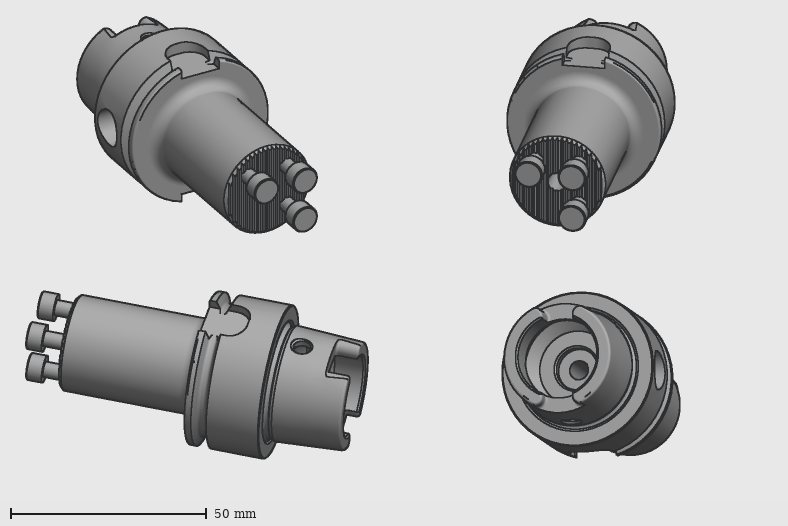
import cadquery as cq
import math

OVERALL_LENGTH = 84.4
EDGE_TOLERANCE = 0.01

TAPER_MOUTH_R = 14.1
TAPER_END_R = 15.1
TAPER_END_X = 17.9
MOUTH_ROUND = 0.7
NECK_R = 14.6
NECK_START_X = 18.9
NECK_END_X = 19.4
NECK_LEAD_IN = 0.25

FLANGE_R = 20.0
FLANGE_X = 20.0
FLANGE_END_X = 39.75
FLANGE_CHAMFER = 0.25
FLANGE_END_ROUND = 0.5
RELIEF_DEPTH = 0.3
RELIEF_INNER_R = 15.5
RELIEF_OUTER_R = 16.1

GROOVE_X = 35.9
GROOVE_TOP_HALF_WIDTH = 2.0
GROOVE_FLOOR_HALF_WIDTH = 0.85
GROOVE_FLOOR_R = 17.3
GROOVE_ROUND = 0.8

ARBOR_R = 12.5
ARBOR_END_X = 75.0
ARBOR_ROOT_ROUND = 2.95
ARBOR_CHAMFER = 0.85

BORE_MOUTH_R = 11.0
BORE_MOUTH_CHAMFER = 0.5
BORE_R = BORE_MOUTH_R - BORE_MOUTH_CHAMFER
BORE_LIP_X = 8.0
RECESS_R = 12.75
RECESS_END_X = 16.0
BORE_FLOOR_R = 9.7
BORE_FLOOR_X = RECESS_END_X + RECESS_R - BORE_FLOOR_R
POCKET_R = 5.9
POCKET_CHAMFER = 0.5
POCKET_DEPTH = 2.5
COOLANT_HOLE_R = 2.45

SLOT_HALF_WIDTH = 4.0
SLOT_SHOULDER_Z = 12.7
SLOT_WALL_ROUND = 2.0
SLOT_END_ROUND = 0.8
UPPER_SLOT_DEPTH = 6.0
LOWER_SLOT_DEPTH = 3.55

CROSS_HOLE_X = 13.8
CROSS_HOLE_R = 2.3
CROSS_HOLE_SINK_R = 2.9
SIDE_HOLE_X = 26.75
SIDE_HOLE_R = 5.0
SIDE_HOLE_FLOOR = 14.7
SIDE_HOLE_FLOOR_CHAMFER = 0.25

KEYWAY_START_X = 27.9
KEYWAY_HALF_WIDTH = 5.5
KEYWAY_CORNER_R = 4.5
KEYWAY_FLOOR = 16.9

TOOTH_PITCH = 1.25
TOOTH_DEPTH = 0.6
TOOTH_FLANK_ANGLE = 30.0

SCREW_OFFSET = 5.65
SCREW_SHANK_R = 2.0
SCREW_HEAD_R = 3.55
SCREW_HEAD_LENGTH = 4.1
SCREW_HEAD_CHAMFER = 0.25
SCREW_SHANK_LENGTH = 12.0


def revolve_about_x(outline):
    """Turn a closed outline of (x, radius) about the X axis."""
    return outline.close().revolve(360, (0, 0, 0), (1, 0, 0))


def turned_blank():
    """Taper, flange and arbor as one turned shape."""
    outline = (
        cq.Workplane("XY")
        .moveTo(0, 0)
        .lineTo(0, TAPER_MOUTH_R)
        .lineTo(TAPER_END_X, TAPER_END_R)
        .lineTo(NECK_START_X - NECK_LEAD_IN, NECK_R + NECK_LEAD_IN)
        .lineTo(NECK_START_X, NECK_R)
        .lineTo(NECK_END_X, NECK_R)
        .tangentArcPoint((FLANGE_X + RELIEF_DEPTH, RELIEF_INNER_R), relative=False)
        .lineTo(FLANGE_X, RELIEF_OUTER_R)
        .lineTo(FLANGE_X, FLANGE_R - FLANGE_CHAMFER)
        .lineTo(FLANGE_X + FLANGE_CHAMFER, FLANGE_R)
        .lineTo(FLANGE_END_X - FLANGE_END_ROUND, FLANGE_R)
        .tangentArcPoint((FLANGE_END_ROUND, -FLANGE_END_ROUND))
        .lineTo(FLANGE_END_X, ARBOR_R + ARBOR_ROOT_ROUND)
        .tangentArcPoint((ARBOR_ROOT_ROUND, -ARBOR_ROOT_ROUND))
        .lineTo(ARBOR_END_X - ARBOR_CHAMFER, ARBOR_R)
        .lineTo(ARBOR_END_X, ARBOR_R - ARBOR_CHAMFER)
        .lineTo(ARBOR_END_X, 0)
    )
    return revolve_about_x(outline)


def gripper_groove():
    """V-shaped ring with a rounded floor, to be cut from the flange rim."""
    outline = (
        cq.Workplane("XY")
        .moveTo(GROOVE_X - GROOVE_TOP_HALF_WIDTH, FLANGE_R)
        .lineTo(GROOVE_X - GROOVE_FLOOR_HALF_WIDTH, GROOVE_FLOOR_R)
        .lineTo(GROOVE_X + GROOVE_FLOOR_HALF_WIDTH, GROOVE_FLOOR_R)
        .lineTo(GROOVE_X + GROOVE_TOP_HALF_WIDTH, FLANGE_R)
    )
    ring = revolve_about_x(outline)
    middle_r = (GROOVE_FLOOR_R + FLANGE_R) / 2
    floor_edges = [edge for edge in ring.edges("%CIRCLE").vals() if edge.radius() < middle_r]
    return ring.newObject(floor_edges).fillet(GROOVE_ROUND)


def stepped_bore():
    """Clamping bore, pocket and coolant hole along the axis."""
    pocket_floor_x = BORE_FLOOR_X + POCKET_DEPTH
    outline = (
        cq.Workplane("XY")
        .moveTo(0, 0)
        .lineTo(0, BORE_MOUTH_R)
        .lineTo(BORE_MOUTH_CHAMFER, BORE_R)
        .lineTo(BORE_LIP_X, BORE_R)
        .lineTo(BORE_LIP_X, RECESS_R)
        .lineTo(RECESS_END_X, RECESS_R)
        .lineTo(BORE_FLOOR_X, BORE_FLOOR_R)
        .lineTo(BORE_FLOOR_X, POCKET_R)
        .lineTo(BORE_FLOOR_X + POCKET_CHAMFER, POCKET_R - POCKET_CHAMFER)
        .lineTo(pocket_floor_x, POCKET_R - POCKET_CHAMFER)
        .lineTo(pocket_floor_x, COOLANT_HOLE_R)
        .lineTo(ARBOR_END_X, COOLANT_HOLE_R)
        .lineTo(ARBOR_END_X, 0)
    )
    return revolve_about_x(outline)


def drive_slot(depth, side):
    """Slot through the taper wall; side is +1 for the +Z wall and -1 for the -Z wall."""
    reach = TAPER_END_R
    flare_half_width = SLOT_HALF_WIDTH + SLOT_WALL_ROUND
    flare_start_z = SLOT_SHOULDER_Z - SLOT_WALL_ROUND
    slot = (
        cq.Workplane("YZ")
        .moveTo(-SLOT_HALF_WIDTH, 0)
        .lineTo(-SLOT_HALF_WIDTH, flare_start_z)
        .tangentArcPoint((-SLOT_WALL_ROUND, SLOT_WALL_ROUND))
        .lineTo(-reach, SLOT_SHOULDER_Z)
        .lineTo(-reach, reach)
        .lineTo(reach, reach)
        .lineTo(reach, SLOT_SHOULDER_Z)
        .lineTo(flare_half_width, SLOT_SHOULDER_Z)
        .tangentArcPoint((SLOT_HALF_WIDTH, flare_start_z), relative=False)
        .lineTo(SLOT_HALF_WIDTH, 0)
        .close()
        .extrude(depth)
    )
    wall_edges = [
        edge
        for edge in slot.faces(">X").edges().vals()
        if 0 < edge.Center().z < SLOT_SHOULDER_Z + EDGE_TOLERANCE
    ]
    slot = slot.newObject(wall_edges).fillet(SLOT_END_ROUND)
    return slot if side > 0 else slot.mirror("XY")


def rounded_mouth(body):
    """Round the rim of the taper mouth and the mouth edges of both slots."""
    return body.faces("<X").edges().fillet(MOUTH_ROUND)


def cross_hole():
    """Hole along Z through both taper walls, countersunk at each outer surface."""
    sink_depth = CROSS_HOLE_SINK_R - CROSS_HOLE_R
    wall_r = TAPER_MOUTH_R + (TAPER_END_R - TAPER_MOUTH_R) * CROSS_HOLE_X / TAPER_END_X
    half_outline = (
        cq.Workplane("XZ", origin=(CROSS_HOLE_X, 0, 0))
        .lineTo(CROSS_HOLE_R, 0)
        .lineTo(CROSS_HOLE_R, wall_r - sink_depth)
        .lineTo(CROSS_HOLE_SINK_R, wall_r)
        .lineTo(CROSS_HOLE_SINK_R, FLANGE_R)
        .lineTo(0, FLANGE_R)
        .close()
    )
    upper = half_outline.revolve(360, (0, 0, 0), (0, 1, 0))
    return upper.union(upper.mirror("XY"))


def side_hole():
    """Blind hole in the -Y side of the flange with a chamfered floor."""
    hole = (
        cq.Workplane("XZ", origin=(SIDE_HOLE_X, -SIDE_HOLE_FLOOR, 0))
        .circle(SIDE_HOLE_R)
        .extrude(FLANGE_R - SIDE_HOLE_FLOOR)
    )
    return hole.faces(">Y").chamfer(SIDE_HOLE_FLOOR_CHAMFER)


def keyway(side):
    """Flat-bottomed keyway open to the arbor end; side is +1 for +Z and -1 for -Z."""
    length = FLANGE_END_X - KEYWAY_START_X
    slot = (
        cq.Workplane("XY", origin=(KEYWAY_START_X, -KEYWAY_HALF_WIDTH, KEYWAY_FLOOR))
        .rect(length, 2 * KEYWAY_HALF_WIDTH, centered=False)
        .extrude(FLANGE_R - KEYWAY_FLOOR)
        .edges("|Z and <X")
        .fillet(KEYWAY_CORNER_R)
    )
    return slot if side > 0 else slot.mirror("XY")


def serrations():
    """V grooves along Z across the arbor end face, one of them on the axis."""
    groove_half_width = TOOTH_DEPTH * math.tan(math.radians(TOOTH_FLANK_ANGLE))
    side_count = math.floor(ARBOR_R / TOOTH_PITCH)
    grooves = cq.Workplane("XY", origin=(0, 0, -ARBOR_R))
    for index in range(-side_count, side_count + 1):
        y = index * TOOTH_PITCH
        grooves = (
            grooves.moveTo(ARBOR_END_X - TOOTH_DEPTH, y)
            .lineTo(ARBOR_END_X, y + groove_half_width)
            .lineTo(ARBOR_END_X, y - groove_half_width)
            .close()
        )
    return grooves.extrude(2 * ARBOR_R)


def screw(y, z):
    """Cap screw pointing into the arbor along -X."""
    head_x = OVERALL_LENGTH - SCREW_HEAD_LENGTH
    head = (
        cq.Workplane("YZ", origin=(head_x, y, z))
        .circle(SCREW_HEAD_R)
        .extrude(SCREW_HEAD_LENGTH)
        .faces(">X")
        .chamfer(SCREW_HEAD_CHAMFER)
    )
    shank = (
        cq.Workplane("YZ", origin=(head_x, y, z))
        .circle(SCREW_SHANK_R)
        .extrude(-SCREW_SHANK_LENGTH)
    )
    return head.union(shank)


def arbor_housing(screws):
    """The complete holder, with a hole that matches each screw shank."""
    body = turned_blank().cut(gripper_groove())
    body = body.cut(drive_slot(UPPER_SLOT_DEPTH, 1)).cut(drive_slot(LOWER_SLOT_DEPTH, -1))
    body = rounded_mouth(body)
    body = body.cut(stepped_bore())
    body = body.cut(cross_hole()).cut(side_hole())
    body = body.cut(keyway(1)).cut(keyway(-1))
    body = body.cut(serrations())
    for fastener in screws:
        body = body.cut(fastener)
    return body


cap_screws = []
for y_side, z_side in ((1, 1), (-1, 1), (1, -1)):
    cap_screws.append(screw(y_side * SCREW_OFFSET, z_side * SCREW_OFFSET))

housing = arbor_housing(cap_screws)

result = cq.Compound.makeCompound([housing.val(), *[fastener.val() for fastener in cap_screws]])